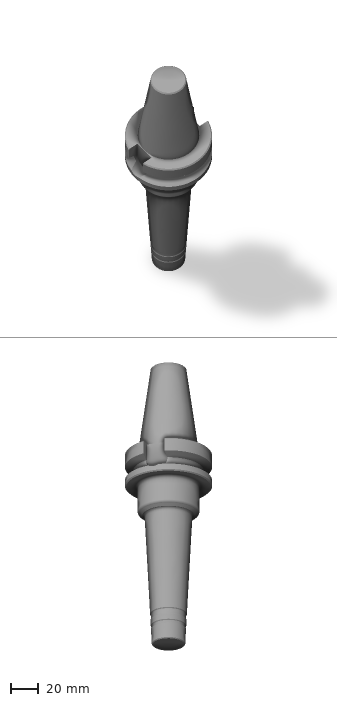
import cadquery as cq

total_height = 215.5
flange_top = 148.6
flange_bottom = 123.0

taper_top_radius = 13.0
taper_base_radius = 22.2
taper_edge_chamfer = 0.9

flange_radius = 31.5
flange_edge_chamfer = 0.9
gripper_floor_radius = 25.5
upper_rim_bottom = 138.5
groove_top = 135.7
groove_bottom = 130.7
lower_rim_top = 128.2

slot_width = 16.2
slot_floor_distance = 22.5
slot_bottom = 127.0

collar_radius = 44.5 / 2
collar_fillet = 1.7
collar_chamfer_top = 103.8
collar_edge_radius = 2.2
collar_shoulder_radius = 21.1
collar_shoulder_height = 102.0
collar_chamfer_bottom = 100.4
collar_bottom_radius = 19.0
neck_top = 99.0
neck_fillet = 1.7

neck_top_radius = 17.2
nose_tip_radius = 12.0
nose_edge_chamfer = 0.6

ring_grooves = ((11.6, 14.6, 12.3), (18.7, 23.7, 12.7))
ring_end_length = 0.6


def cone_radius(height):
    """Radius of the long cone at a given height."""
    return nose_tip_radius + (neck_top_radius - nose_tip_radius) * height / neck_top


def make_body():
    """Revolve the half profile, listed from the nose tip up to the taper end."""
    profile = (
        cq.Workplane("XZ")
        .moveTo(0, 0)
        .lineTo(nose_tip_radius - nose_edge_chamfer, 0)
        .lineTo(cone_radius(nose_edge_chamfer), nose_edge_chamfer)
        .lineTo(neck_top_radius, neck_top)
        .radiusArc((collar_bottom_radius, collar_chamfer_bottom), neck_fillet)
        .lineTo(collar_shoulder_radius, collar_shoulder_height)
        .radiusArc((collar_radius, collar_chamfer_top), -collar_edge_radius)
        .lineTo(collar_radius, flange_bottom - collar_fillet)
        .radiusArc((collar_radius + collar_fillet, flange_bottom), collar_fillet)
        .lineTo(flange_radius - flange_edge_chamfer, flange_bottom)
        .lineTo(flange_radius, flange_bottom + flange_edge_chamfer)
        .lineTo(flange_radius, lower_rim_top)
        .lineTo(gripper_floor_radius, groove_bottom)
        .lineTo(gripper_floor_radius, groove_top)
        .lineTo(flange_radius, upper_rim_bottom)
        .lineTo(flange_radius, flange_top - flange_edge_chamfer)
        .lineTo(flange_radius - flange_edge_chamfer, flange_top)
        .lineTo(taper_base_radius, flange_top)
        .lineTo(taper_top_radius, total_height - taper_edge_chamfer)
        .lineTo(taper_top_radius - taper_edge_chamfer, total_height)
        .lineTo(0, total_height)
        .close()
    )
    return profile.revolve(360, (0, 0, 0), (0, 1, 0))


def make_ring_groove(bottom, top, floor_radius):
    """Cutter for a ring groove whose ends slope up to the cone surface."""
    return (
        cq.Workplane("XZ")
        .moveTo(cone_radius(bottom), bottom)
        .lineTo(floor_radius, bottom + ring_end_length)
        .lineTo(floor_radius, top - ring_end_length)
        .lineTo(cone_radius(top), top)
        .lineTo(neck_top_radius, top)
        .lineTo(neck_top_radius, bottom)
        .close()
        .revolve(360, (0, 0, 0), (0, 1, 0))
    )


def make_drive_slot(side):
    """Cutter for the round-bottomed slot on the +Y (side = 1) or -Y (side = -1) face."""
    half_width = slot_width / 2
    arc_start = slot_bottom + half_width
    return (
        cq.Workplane("XZ", origin=(0, side * slot_floor_distance, 0))
        .moveTo(-half_width, flange_top)
        .lineTo(-half_width, arc_start)
        .threePointArc((0, slot_bottom), (half_width, arc_start))
        .lineTo(half_width, flange_top)
        .close()
        .extrude(-side * flange_radius)
    )


result = make_body()
for ring_bottom, ring_top, ring_floor_radius in ring_grooves:
    result = result.cut(make_ring_groove(ring_bottom, ring_top, ring_floor_radius))
for slot_side in (-1, 1):
    result = result.cut(make_drive_slot(slot_side))